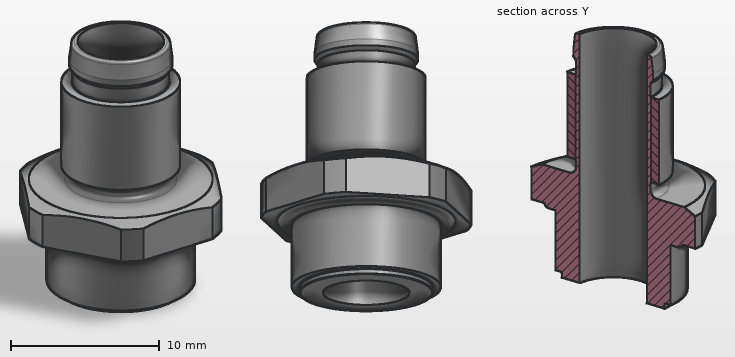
import cadquery as cq
import math

total_height = 18.0
collar_relief_z = 0.35
collar_bottom_z = 0.4
flange_bottom_z = 4.72
hex_bottom_z = 5.0
hex_top_z = 7.8
neck_flare_z = 8.75
sleeve_bottom_z = 8.85
sleeve_top_z = 15.01
barb_foot_z = 16.0
barb_land_bottom_z = 16.29
barb_land_top_z = 16.74

bore_radius = 2.9
neck_radius = 3.25
core_radius = 3.3
barb_tip_radius = 3.31
barb_land_radius = 3.47
sleeve_radius = 4.0
base_radius = 4.46
base_flare_radius = 4.5
collar_radius = 5.0
hex_corner_radius = 14.2 / 2
hex_face_radius = 6.17

hex_across_flats = 13.0
hex_chamfer_angle = 25.0
hex_turn_angle = 30.0
neck_fillet_radius = 0.5
flange_round_radius = 0.5
flange_flat_radius = 5.55
tip_round_radius = 0.22
base_rim_chamfer = 0.04


def tube_with_barb():
    """Revolved upper tube: lower neck, core inside the sleeve, upper neck and barb."""
    profile = (
        cq.Workplane("XZ")
        .moveTo(0, hex_bottom_z)
        .lineTo(neck_radius + neck_fillet_radius, hex_bottom_z)
        .lineTo(neck_radius + neck_fillet_radius, hex_top_z)
        .radiusArc((neck_radius, hex_top_z + neck_fillet_radius), neck_fillet_radius)
        .lineTo(neck_radius, neck_flare_z)
        .lineTo(core_radius, sleeve_bottom_z)
        .lineTo(core_radius, sleeve_top_z)
        .lineTo(neck_radius, sleeve_top_z)
        .lineTo(neck_radius, barb_foot_z)
        .lineTo(barb_land_radius, barb_land_bottom_z)
        .lineTo(barb_land_radius, barb_land_top_z)
        .lineTo(barb_tip_radius, total_height)
        .lineTo(0, total_height)
        .close()
    )
    tube = profile.revolve(360, (0, 0), (0, 1))
    return tube.faces(">Z").edges().fillet(tip_round_radius)


def hexagon():
    """Hexagon with turned corners and a conical chamfer on its top side."""
    prism = (
        cq.Workplane("XY", origin=(0, 0, hex_bottom_z))
        .polygon(6, hex_across_flats, circumscribed=True)
        .extrude(hex_top_z - hex_bottom_z)
        .rotate((0, 0, 0), (0, 0, 1), hex_turn_angle)
    )
    chamfer_width = hex_corner_radius - hex_face_radius
    chamfer_drop = chamfer_width * math.tan(math.radians(hex_chamfer_angle))
    turned_blank = (
        cq.Workplane("XZ")
        .moveTo(0, hex_bottom_z)
        .lineTo(hex_corner_radius, hex_bottom_z)
        .lineTo(hex_corner_radius, hex_top_z - chamfer_drop)
        .lineTo(hex_face_radius, hex_top_z)
        .lineTo(0, hex_top_z)
        .close()
        .revolve(360, (0, 0), (0, 1))
    )
    return prism.intersect(turned_blank)


def base():
    """Revolved lower end: rim, collar and the rounded flange under the hexagon."""
    flange_height = hex_bottom_z - flange_bottom_z
    height_to_round_centre = flange_round_radius - flange_height
    round_width = math.sqrt(flange_round_radius**2 - height_to_round_centre**2)
    return (
        cq.Workplane("XZ")
        .lineTo(base_radius - base_rim_chamfer, 0)
        .lineTo(base_radius, base_rim_chamfer)
        .lineTo(base_radius, collar_relief_z)
        .lineTo(base_flare_radius, collar_bottom_z)
        .lineTo(collar_radius, collar_bottom_z)
        .lineTo(collar_radius, flange_bottom_z)
        .lineTo(flange_flat_radius, flange_bottom_z)
        .radiusArc((flange_flat_radius + round_width, hex_bottom_z), -flange_round_radius)
        .lineTo(0, hex_bottom_z)
        .close()
        .revolve(360, (0, 0), (0, 1))
    )


def make_fitting():
    """Hollow fitting: base, hexagon and barbed tube with one through bore."""
    bore = cq.Workplane("XY").circle(bore_radius).extrude(total_height)
    return base().union(hexagon()).union(tube_with_barb()).cut(bore).solids()


def make_sleeve():
    """Plain ring that sits around the core of the tube."""
    return (
        cq.Workplane("XY", origin=(0, 0, sleeve_bottom_z))
        .circle(sleeve_radius)
        .circle(core_radius)
        .extrude(sleeve_top_z - sleeve_bottom_z)
    )


fitting = make_fitting()
sleeve = make_sleeve()

result = cq.Compound.makeCompound([fitting.val(), sleeve.val()])